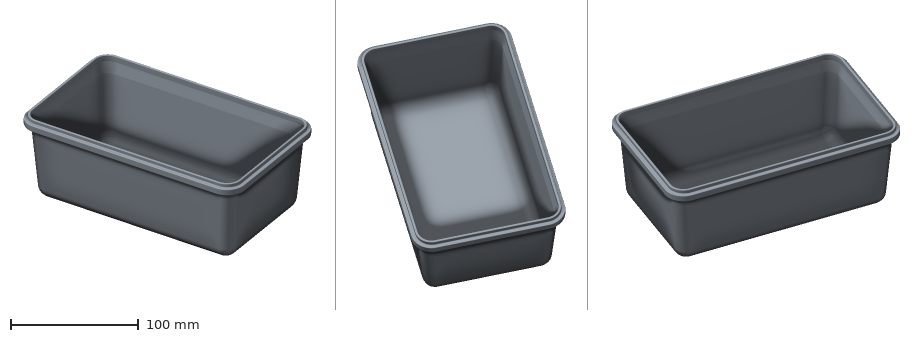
import cadquery as cq

LENGTH = 203.0
WIDTH = 124.0
HEIGHT = 75.0

RIM_HEIGHT = 3.2
FLANGE_HEIGHT = 5.5
LIP_DEPTH = 5.0
COLLAR_DEPTH = 15.0

RIM_INSET = 3.2
COLLAR_INSET = 5.0
WALL_INSET = 6.3
LIP_INSET = 5.3
WALL = 1.0
FLOOR = 1.0

DRAFT_ANGLE = 4.0

CORNER_RADIUS = 16.2
BASE_RADIUS = 10.0
EDGE_RADIUS = 0.5

FLANGE_TOP = HEIGHT - RIM_HEIGHT
FLANGE_BOTTOM = FLANGE_TOP - FLANGE_HEIGHT
LIP_BOTTOM = HEIGHT - LIP_DEPTH
COLLAR_BOTTOM = HEIGHT - COLLAR_DEPTH


def outline(inset):
    """Rounded rectangle moved inwards from the flange edge, keeping the same corner centres."""
    return cq.Sketch().rect(LENGTH - 2 * inset, WIDTH - 2 * inset).vertices().fillet(CORNER_RADIUS - inset)


def band(inset, bottom, top):
    """Straight-sided solid between two heights."""
    return cq.Workplane(origin=(0, 0, bottom)).placeSketch(outline(inset)).extrude(top - bottom)


def tub(inset, bottom):
    """Drafted tub below the collar, rounded at its corners and around its base."""
    depth = COLLAR_BOTTOM - bottom
    body = (
        cq.Workplane(origin=(0, 0, COLLAR_BOTTOM))
        .rect(LENGTH - 2 * inset, WIDTH - 2 * inset)
        .extrude(-depth, taper=DRAFT_ANGLE)
    )
    rounded_corners = body.edges("not (<Z or >Z)").fillet(CORNER_RADIUS - inset)
    return rounded_corners.faces("<Z").edges().fillet(BASE_RADIUS)


def collar(low_inset, high_inset, top):
    """Steeper band that widens from the tub to the flange or the lip."""
    low = outline(low_inset)
    high = outline(high_inset).moved(cq.Location(cq.Vector(0, 0, top - COLLAR_BOTTOM)))
    return cq.Workplane(origin=(0, 0, COLLAR_BOTTOM)).placeSketch(low, high).loft(ruled=True)


def outer_body():
    flange = band(0, FLANGE_BOTTOM, FLANGE_TOP).faces("<Z or >Z").edges().fillet(EDGE_RADIUS)
    rim = band(RIM_INSET, FLANGE_TOP, HEIGHT)
    neck = collar(WALL_INSET, COLLAR_INSET, FLANGE_BOTTOM)
    return tub(WALL_INSET, 0).union(neck).union(flange).union(rim)


def cavity():
    inner_inset = WALL_INSET + WALL
    neck = collar(inner_inset, LIP_INSET, LIP_BOTTOM)
    lip = band(LIP_INSET, LIP_BOTTOM, HEIGHT)
    return tub(inner_inset, FLOOR).union(neck).union(lip)


def rounded_rim(body):
    """Round both top edges of the rim and the corner where it stands on the flange."""
    ledge = body.faces("+Z").faces(cq.selectors.CenterNthSelector(cq.Vector(0, 0, 1), -2))
    rounded_root = ledge.wires(cq.selectors.LengthNthSelector(0)).edges().fillet(EDGE_RADIUS)
    return rounded_root.faces(">Z").edges().fillet(EDGE_RADIUS)


result = rounded_rim(outer_body().cut(cavity()))